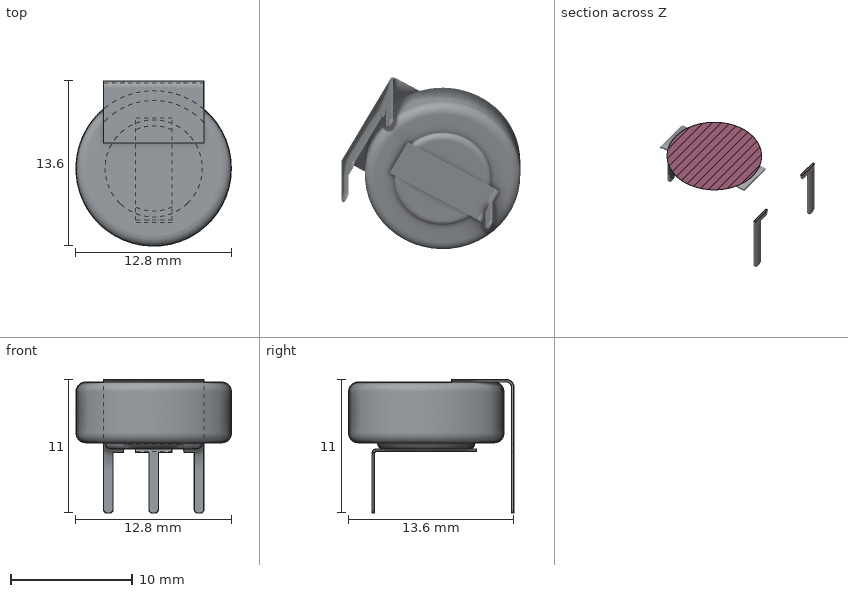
import cadquery as cq


can_radius = 6.4
can_height = 5.0
can_edge_radius = 0.8
button_radius = 4.0
button_height = 0.5
button_edge_radius = 0.49

sheet = 0.2
pin_width = 0.8
pin_tip_z = -5.8
pin_tip_radius = 0.33
shoulder_drop = 0.3
shoulder_z = -button_height - shoulder_drop
cutter_depth = 4 * sheet

strap_width = 8.27
strap_front_y = 2.1
strap_back_y = 7.21
strap_bend_radius = 0.6
strap_top_z = can_height + sheet
notch_bottom_width = 5.01
notch_top_width = 4.74
notch_height = 0.7
notch_corner_radius = 0.2

tab_width = 3.0
tab_back_y = 4.14
tab_front_y = -4.46
tab_bend_radius = 0.38
tab_top_z = -button_height


def disc(radius, bottom_z, height):
    """Solid cylinder on the can axis."""
    return cq.Workplane("XY").workplane(offset=bottom_z).circle(radius).extrude(height)


def bent_sheet(free_y, bend_y, top_z, bend_radius, width):
    """Strip running level from free_y to bend_y, then bent down to the pin tips."""
    inward = 1 if free_y > bend_y else -1
    strip = (
        cq.Workplane("YZ")
        .moveTo(free_y, top_z)
        .lineTo(bend_y, top_z)
        .lineTo(bend_y, pin_tip_z)
        .lineTo(bend_y + inward * sheet, pin_tip_z)
        .lineTo(bend_y + inward * sheet, top_z - sheet)
        .lineTo(free_y, top_z - sheet)
        .close()
        .extrude(width / 2, both=True)
    )
    outer_corner = cq.selectors.NearestToPointSelector((0, bend_y, top_z))
    inner_corner = cq.selectors.NearestToPointSelector((0, bend_y + inward * sheet, top_z - sheet))
    strip = strip.edges("|X").edges(outer_corner).fillet(bend_radius)
    return strip.edges("|X").edges(inner_corner).fillet(bend_radius - sheet)


def pin_gap(left_x, right_x, wall_y):
    """Cutter that clears the sheet below the shoulders, from left_x to right_x."""
    return (
        cq.Workplane("XY")
        .box(right_x - left_x, cutter_depth, shoulder_z - pin_tip_z, centered=(False, True, False))
        .translate((left_x, wall_y, pin_tip_z))
    )


def round_pin_tips(terminal):
    """Round the corners at the free ends of the pins."""
    return terminal.edges("|Y and <Z").fillet(pin_tip_radius)


def strap_notch():
    """Tapered notch with rounded upper corners between the strap shoulders."""
    half_bottom = notch_bottom_width / 2
    half_top = notch_top_width / 2
    notch_top_z = shoulder_z + notch_height
    return (
        cq.Workplane("XZ", origin=(0, strap_back_y, 0))
        .moveTo(-half_bottom, shoulder_z)
        .lineTo(-half_top, notch_top_z)
        .lineTo(half_top, notch_top_z)
        .lineTo(half_bottom, shoulder_z)
        .close()
        .extrude(cutter_depth / 2, both=True)
        .edges("|Y and >Z")
        .fillet(notch_corner_radius)
    )


def upper_terminal():
    inner_x = strap_width / 2 - pin_width
    strap = bent_sheet(strap_front_y, strap_back_y, strap_top_z, strap_bend_radius, strap_width)
    strap = strap.cut(pin_gap(-inner_x, inner_x, strap_back_y)).cut(strap_notch())
    return round_pin_tips(strap)


def lower_terminal():
    tab = bent_sheet(tab_back_y, tab_front_y, tab_top_z, tab_bend_radius, tab_width)
    tab = tab.cut(pin_gap(-tab_width / 2, -pin_width / 2, tab_front_y))
    tab = tab.cut(pin_gap(pin_width / 2, tab_width / 2, tab_front_y))
    return round_pin_tips(tab)


can = disc(can_radius, 0, can_height).edges().fillet(can_edge_radius)
button = disc(button_radius, -button_height, button_height)
button = button.faces("<Z").edges().fillet(button_edge_radius)

result = can.union(button).union(upper_terminal()).union(lower_terminal())